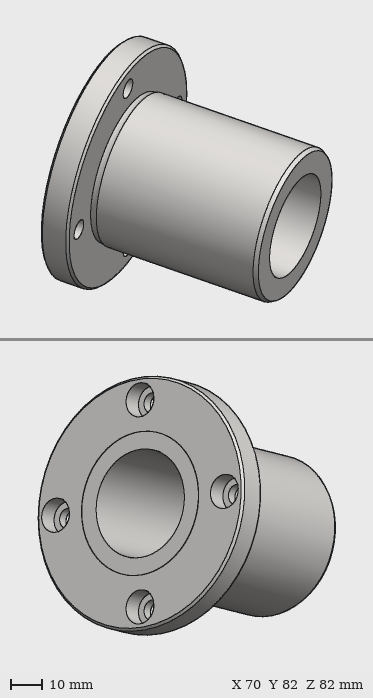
import cadquery as cq

total_length = 70.0
bore_diameter = 35.0

flange_diameter = 82.0
flange_thickness = 10.0
flange_edge_chamfer = 0.8

body_diameter = 52.0
end_chamfer_length = 1.5
end_chamfer_depth = 0.8

relief_width = 2.3
relief_depth = 0.5

face_ring_diameter = 46.4
face_ring_depth = 0.2

hole_count = 4
hole_circle_diameter = 67.0
hole_diameter = 6.6
counterbore_diameter = 11.0
counterbore_depth = 6.6


def disc(start, length, diameter):
    """Solid cylinder around the X axis, starting at X = start."""
    return cq.Workplane("YZ", origin=(start, 0, 0)).circle(diameter / 2).extrude(length)


def make_flange():
    return disc(0, flange_thickness, flange_diameter).edges().chamfer(flange_edge_chamfer)


def make_body():
    """Revolved sleeve with the relief groove at the flange and a chamfered free end."""
    body_radius = body_diameter / 2
    relief_radius = body_radius - relief_depth
    relief_end = flange_thickness + relief_width
    profile = (
        cq.Workplane("XY")
        .lineTo(0, relief_radius)
        .lineTo(flange_thickness, relief_radius)
        .tangentArcPoint((relief_end, body_radius), relative=False)
        .lineTo(total_length - end_chamfer_length, body_radius)
        .lineTo(total_length, body_radius - end_chamfer_depth)
        .lineTo(total_length, 0)
        .close()
    )
    return profile.revolve(360, (0, 0, 0), (1, 0, 0))


def make_mounting_holes():
    """Through holes, counterbored from the flange face."""
    holes = disc(0, flange_thickness, hole_diameter)
    holes = holes.union(disc(0, counterbore_depth, counterbore_diameter))
    holes = holes.translate((0, 0, hole_circle_diameter / 2))
    pattern = cq.Workplane("YZ")
    for index in range(hole_count):
        angle = index * 360 / hole_count
        pattern = pattern.add(holes.rotate((0, 0, 0), (1, 0, 0), angle))
    return pattern.combine()


result = (
    make_flange()
    .union(make_body())
    .cut(make_mounting_holes())
    .cut(disc(0, face_ring_depth, face_ring_diameter))
    .cut(disc(0, total_length, bore_diameter))
)